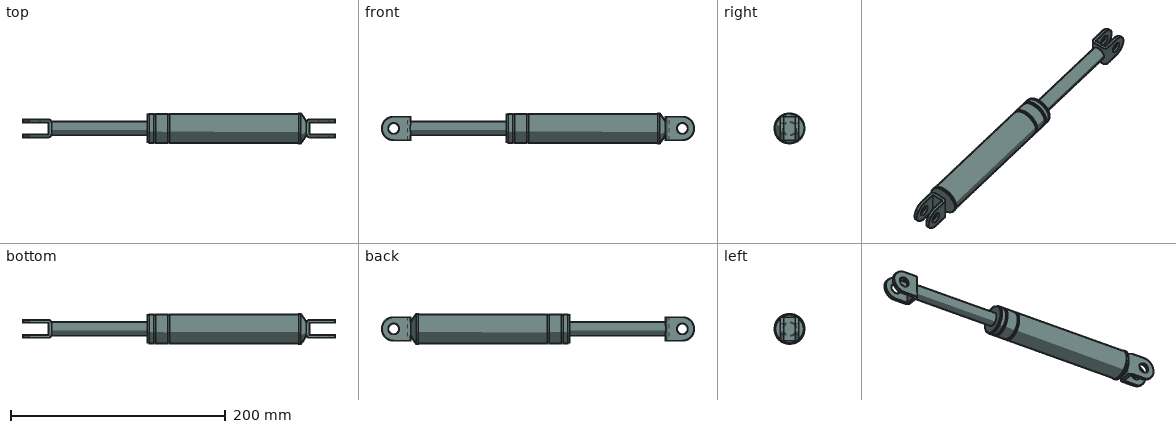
import cadquery as cq
import math

total_length = 291.0
fork_length = 26.8
cylinder_start = 115.8
rim_start = 257.0
dome_start = 259.0
cylinder_end = total_length - fork_length

fork_height = 22.0
fork_width = 17.0
plate_thickness = 3.0
bend_radius = plate_thickness
eye_diameter = 10.0
eye_offset = fork_height / 2

rod_radius = 6.55
cylinder_radius = 13.7
rim_radius = 14.1
dome_end_radius = 5.8
dome_bulge = 0.3
recess_depth = 0.5
recessed_radius = cylinder_radius - recess_depth
front_step_length = 1.7
groove_starts = [122.0, 135.0]
groove_width = 1.7


def make_fork():
    """U-shaped fork with its ear tips at X = 0 and its web toward +X."""
    blank = (
        cq.Workplane("XY")
        .box(fork_length, fork_width, fork_height, centered=(False, True, True))
        .edges("|Z and >X")
        .fillet(bend_radius)
    )
    gap = cq.Workplane("XY").box(
        fork_length - plate_thickness,
        fork_width - 2 * plate_thickness,
        fork_height,
        centered=(False, True, True),
    )
    ear_outline = (
        cq.Workplane("XZ")
        .moveTo(eye_offset, fork_height / 2)
        .lineTo(fork_length, fork_height / 2)
        .lineTo(fork_length, -fork_height / 2)
        .lineTo(eye_offset, -fork_height / 2)
        .threePointArc((0, 0), (eye_offset, fork_height / 2))
        .close()
        .extrude(fork_width / 2, both=True)
    )
    eyes = (
        cq.Workplane("XZ")
        .center(eye_offset, 0)
        .circle(eye_diameter / 2)
        .extrude(fork_width, both=True)
    )
    return blank.cut(gap).intersect(ear_outline).cut(eyes)


def bend_depth_at(radius):
    """Distance from the web's outer face to the bend surface at this Y."""
    flat_half_width = fork_width / 2 - bend_radius
    past_flat = max(radius - flat_half_width, 0)
    return bend_radius - math.sqrt(bend_radius**2 - past_flat**2)


def make_rod():
    """Piston rod joined to its fork, ending at the cylinder's front face."""
    rod_start = fork_length - bend_depth_at(rod_radius)
    rod = (
        cq.Workplane("YZ", origin=(rod_start, 0, 0))
        .circle(rod_radius)
        .extrude(cylinder_start - rod_start)
    )
    return make_fork().union(rod)


def make_cylinder():
    """Cylinder with a front step, two grooves, an end rim, and a dome joined to its fork."""
    neck_end = cylinder_end + bend_depth_at(dome_end_radius)
    dome_middle = (
        (dome_start + cylinder_end) / 2 + dome_bulge,
        (rim_radius + dome_end_radius) / 2 + dome_bulge,
    )
    profile = (
        cq.Workplane("XY")
        .moveTo(cylinder_start, 0)
        .lineTo(cylinder_start, recessed_radius)
        .lineTo(cylinder_start + front_step_length, recessed_radius)
        .lineTo(cylinder_start + front_step_length, cylinder_radius)
    )
    for start in groove_starts:
        profile = (
            profile.lineTo(start, cylinder_radius)
            .lineTo(start, recessed_radius)
            .lineTo(start + groove_width, recessed_radius)
            .lineTo(start + groove_width, cylinder_radius)
        )
    body = (
        profile.lineTo(rim_start, cylinder_radius)
        .lineTo(rim_start, rim_radius)
        .lineTo(dome_start, rim_radius)
        .threePointArc(dome_middle, (cylinder_end, dome_end_radius))
        .lineTo(neck_end, dome_end_radius)
        .lineTo(neck_end, 0)
        .close()
        .revolve(360, (0, 0, 0), (1, 0, 0))
    )
    end_fork = make_fork().mirror("YZ").translate((total_length, 0, 0))
    return body.union(end_fork)


rod = make_rod()
cylinder = make_cylinder()

result = cq.Compound.makeCompound([rod.val(), cylinder.val()])